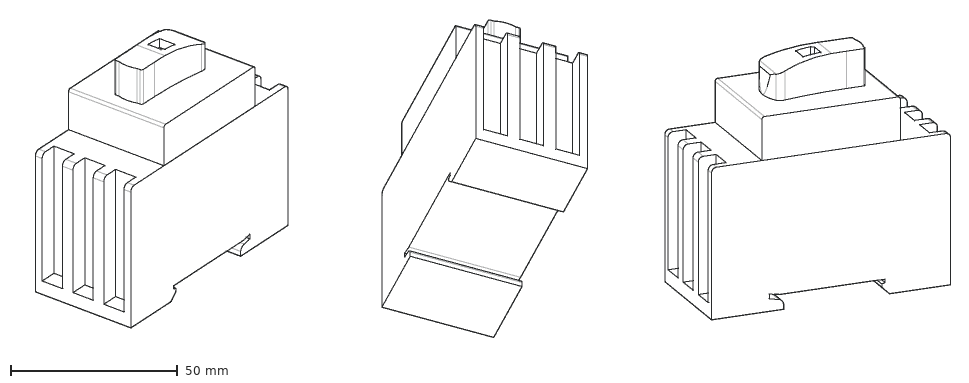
import cadquery as cq

WIDTH = 36.0
LENGTH = 78.0
TOTAL_HEIGHT = 74.6

HOUSING_HEIGHT = 48.7
HOUSING_EDGE_RADIUS = 1.6

SLOT_COUNT = 3
SLOT_PITCH = 11.6
SLOT_WIDTH = 7.65
SLOT_DEPTH = 5.85
SLOT_FLOOR = 4.7

RAIL_DEPTH = 4.9
HOOK_WALL_Y = 20.05
HOOK_ROOF_Z = 5.5
HOOK_ROOF_END_Y = 16.6
HOOK_LIP_Z = 4.0
HOOK_NOSE_START = (17.15, 3.4)
HOOK_NOSE_MIDDLE = (16.0, 2.8)
HOOK_NOSE_END = (15.45, 1.7)
CATCH_WALL_Y = -17.6
CATCH_WALL_BOTTOM_Z = 3.8
CATCH_TIP_Y = -16.5
CATCH_TIP_TOP_Z = 3.5
CATCH_TIP_BOTTOM_Z = 2.5
CATCH_FOOT_Y = CATCH_TIP_Y - CATCH_TIP_BOTTOM_Z

COVER_LENGTH = 45.2
COVER_TOP = 62.6
COVER_EDGE_RADIUS = 0.85

GRIP_HALF_WIDTH = 5.2
GRIP_FRONT_Y = -16.7
GRIP_BULGE_Y = -17.2
BULGE_HALF_WIDTH = 3.4
GRIP_CORNER_RADIUS = 0.7
FLARE_START_Y = -10.4
FLARE_END = (7.2, 10.4)
HEEL_CORNER_MIDDLE = (7.1, 12.0)
HEEL_CORNER_END = (6.3, 13.1)
HEEL_Y = 14.8

CROWN_START_Y = -5.45
CROWN_END = (12.95, 71.0)
HEEL_EDGE_MIDDLE = (13.65, 70.7)
HEEL_EDGE_END = (14.05, 70.2)

WINDOW_SIZE = 5.8
WINDOW_CENTRE_Y = -0.15
WINDOW_FLOOR = 70.8
WINDOW_CORNER_CUT = 0.9


def make_rail_notch():
    """Profile of the mounting rail notch, run across the full width."""
    return (
        cq.Workplane("YZ")
        .moveTo(CATCH_FOOT_Y, 0)
        .lineTo(CATCH_TIP_Y, CATCH_TIP_BOTTOM_Z)
        .lineTo(CATCH_TIP_Y, CATCH_TIP_TOP_Z)
        .lineTo(CATCH_WALL_Y, CATCH_WALL_BOTTOM_Z)
        .lineTo(CATCH_WALL_Y, RAIL_DEPTH)
        .lineTo(HOOK_ROOF_END_Y, RAIL_DEPTH)
        .lineTo(HOOK_WALL_Y, HOOK_ROOF_Z)
        .lineTo(HOOK_WALL_Y, HOOK_LIP_Z)
        .lineTo(*HOOK_NOSE_START)
        .threePointArc(HOOK_NOSE_MIDDLE, HOOK_NOSE_END)
        .lineTo(HOOK_NOSE_END[0], 0)
        .close()
        .extrude(WIDTH / 2, both=True)
    )


def make_terminal_slots():
    """Slots open to the top and to both end faces."""
    slot_height = HOUSING_HEIGHT - SLOT_FLOOR
    centre_y = (LENGTH - SLOT_DEPTH) / 2
    first_x = -SLOT_PITCH * (SLOT_COUNT - 1) / 2
    centres = [
        (first_x + index * SLOT_PITCH, side * centre_y)
        for index in range(SLOT_COUNT)
        for side in (-1, 1)
    ]
    return (
        cq.Workplane("XY", origin=(0, 0, SLOT_FLOOR))
        .pushPoints(centres)
        .rect(SLOT_WIDTH, SLOT_DEPTH)
        .extrude(slot_height)
    )


def make_housing():
    block = (
        cq.Workplane("XY")
        .rect(WIDTH, LENGTH)
        .extrude(HOUSING_HEIGHT)
        .faces(">Z")
        .edges("|X")
        .fillet(HOUSING_EDGE_RADIUS)
    )
    return block.cut(make_terminal_slots()).cut(make_rail_notch())


def make_cover():
    return (
        cq.Workplane("XY", origin=(0, 0, HOUSING_HEIGHT))
        .rect(WIDTH, COVER_LENGTH)
        .extrude(COVER_TOP - HOUSING_HEIGHT)
        .faces(">Z")
        .edges("|X")
        .fillet(COVER_EDGE_RADIUS)
    )


def mirrored(point):
    """The same point on the -X side of the knob."""
    return (-point[0], point[1])


def make_knob_outline():
    """Straight grip that flares to a wide rounded heel, as a full-height prism."""
    flare_start = (GRIP_HALF_WIDTH, FLARE_START_Y)
    grip_corner = (GRIP_HALF_WIDTH, GRIP_FRONT_Y)
    bulge_end = (BULGE_HALF_WIDTH, GRIP_FRONT_Y)
    flare_run = FLARE_END[1] - FLARE_START_Y
    flare_rise = FLARE_END[0] - GRIP_HALF_WIDTH
    flare_radius = (flare_run**2 + flare_rise**2) / (2 * flare_rise)
    return (
        cq.Workplane("XY", origin=(0, 0, COVER_TOP))
        .moveTo(*mirrored(grip_corner))
        .lineTo(*mirrored(bulge_end))
        .threePointArc((0, GRIP_BULGE_Y), bulge_end)
        .lineTo(*grip_corner)
        .lineTo(*flare_start)
        .radiusArc(FLARE_END, flare_radius)
        .threePointArc(HEEL_CORNER_MIDDLE, HEEL_CORNER_END)
        .threePointArc((0, HEEL_Y), mirrored(HEEL_CORNER_END))
        .threePointArc(mirrored(HEEL_CORNER_MIDDLE), mirrored(FLARE_END))
        .radiusArc(mirrored(flare_start), flare_radius)
        .close()
        .extrude(TOTAL_HEIGHT - COVER_TOP)
        .edges("|Z")
        .edges("<Y")
        .edges("<X or >X")
        .fillet(GRIP_CORNER_RADIUS)
    )


def make_knob_profile():
    """Side profile with the falling crown and the sloped heel."""
    return (
        cq.Workplane("YZ")
        .moveTo(GRIP_BULGE_Y, COVER_TOP)
        .lineTo(GRIP_BULGE_Y, TOTAL_HEIGHT)
        .lineTo(CROWN_START_Y, TOTAL_HEIGHT)
        .tangentArcPoint(CROWN_END, relative=False)
        .threePointArc(HEEL_EDGE_MIDDLE, HEEL_EDGE_END)
        .lineTo(HEEL_Y, COVER_TOP)
        .close()
        .extrude(WIDTH / 2, both=True)
    )


def make_window():
    """Square pocket with its +X, -Y corner cut off."""
    return (
        cq.Workplane("XY", origin=(0, WINDOW_CENTRE_Y, WINDOW_FLOOR))
        .rect(WINDOW_SIZE, WINDOW_SIZE)
        .extrude(TOTAL_HEIGHT - WINDOW_FLOOR)
        .edges("|Z and >X and <Y")
        .chamfer(WINDOW_CORNER_CUT)
    )


def make_knob():
    return make_knob_outline().intersect(make_knob_profile()).cut(make_window())


housing = make_housing()
cover = make_cover()
knob = make_knob()

result = cq.Compound.makeCompound([housing.val(), cover.val(), knob.val()])